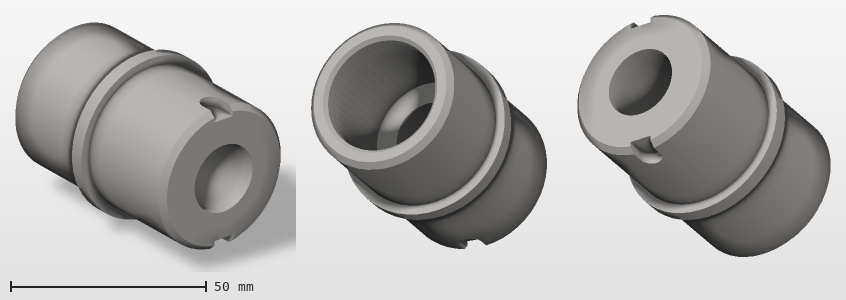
import cadquery as cq

length = 62.0
body_radius = 20.0
collar_radius = 22.5
collar_start = 28.0
collar_width = 3.95
end_chamfer_length = 1.7
end_chamfer_height = 1.5

bore_radius = 15.0
bore_chamfer = 1.0
bore_depth = collar_start + collar_width
through_radius = 9.5

slot_width = 6.0
slot_length = 8.0
slot_floor_height = 17.0

slot_radius = slot_width / 2
slot_center_x = length - slot_length + slot_radius


def make_sleeve():
    """Revolve the half section, given as (x, radius), around the X axis."""
    end_radius = body_radius - end_chamfer_height
    collar_end = collar_start + collar_width
    section = [
        (0, bore_radius + bore_chamfer),
        (0, end_radius),
        (end_chamfer_length, body_radius),
        (collar_start, body_radius),
        (collar_start, collar_radius),
        (collar_end, collar_radius),
        (collar_end, body_radius),
        (length - end_chamfer_length, body_radius),
        (length, end_radius),
        (length, through_radius),
        (bore_depth, through_radius),
        (bore_depth, bore_radius),
        (bore_chamfer, bore_radius),
    ]
    profile = cq.Workplane("XY").polyline(section).close()
    return profile.revolve(360, (0, 0, 0), (1, 0, 0))


def make_slot_cutter(floor_height):
    """Round-ended slot that opens through the right end; a negative height puts it below."""
    depth = collar_radius - abs(floor_height)
    if floor_height < 0:
        depth = -depth
    return (
        cq.Workplane("XY", origin=(0, 0, floor_height))
        .moveTo(length, -slot_radius)
        .lineTo(slot_center_x, -slot_radius)
        .threePointArc((slot_center_x - slot_radius, 0), (slot_center_x, slot_radius))
        .lineTo(length, slot_radius)
        .close()
        .extrude(depth)
    )


result = make_sleeve()
for floor_height in (slot_floor_height, -slot_floor_height):
    result = result.cut(make_slot_cutter(floor_height))